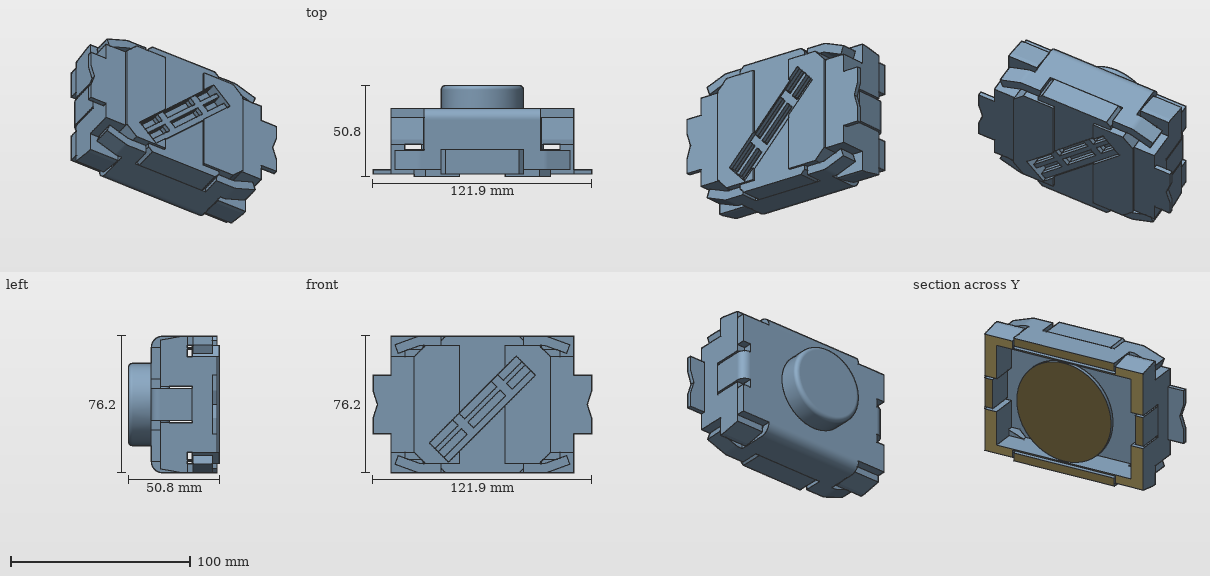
import cadquery as cq
import math


sheet = 5.1
bend_inner = 1.2
bend_outer = bend_inner + sheet
small_step = 2.5
overall_length = 121.9

pad_height = 1.3
clip_bottom = 2.5
clip_top = 13.3
floor_top = 13.9
notch_top = 16.6
slope_bottom = 19.1
base_top = 31.6
cover_top = base_top + sheet
button_top = 49.5

base_half_length = 51.0
base_half_width = 38.1
floor_half_length = 38.0
floor_half_width = base_half_width - sheet
floor_chamfer = 6.3
end_wall_half_width = floor_half_width - floor_chamfer
slope_inset = 2.2
cavity_half_length = 43.2
cavity_half_width = 30.7
arm_recess_half_length = 32.9
arm_recess_half_width = base_half_width - bend_outer
end_slot_half_width = 10.1
pad_inner_edge = 12.7
boss_half_length = 23.0

terminal_half_width = 16.3
terminal_notch_depth = 2.4
terminal_notch_half_width = 7.5

side_arm_half_length = 32.4
leg_half_length = 34.4
clip_length = 12.9
clip_angle = 20.0
end_arm_half_width = 9.0
relief_half_width = 14.1

button_radius = 23.0
flange_radius = 30.5
flange_thickness = sheet

contact_angle = 45.0
contact_length = 68.5
contact_width = 15.1
contact_drop = 2.5
contact_sink = 1.0
window_inner = 1.28
window_outer = 5.7
crossbar_inner = 12.7
crossbar_outer = crossbar_inner + sheet
window_depth = 2 * small_step


def box(x_range, y_range, z_range):
    """Box between the given limits along each axis."""
    return cq.Workplane("XY").box(
        x_range[1] - x_range[0], y_range[1] - y_range[0], z_range[1] - z_range[0], centered=False
    ).translate((x_range[0], y_range[0], z_range[0]))


def centred_box(half_x, y_range, half_z):
    """Box centred on the Y axis."""
    return box((-half_x, half_x), y_range, (-half_z, half_z))


def prism(points, y_range):
    """Straight prism along Y on an outline of (x, z) points."""
    outline = cq.Workplane("XZ", origin=(0, y_range[0], 0)).polyline(points).close()
    return outline.extrude(y_range[0] - y_range[1])


def on_both_ends(body):
    """The body and its mirror copy at the opposite X end."""
    return body.union(body.mirror("YZ"))


def on_both_sides(body):
    """The body and its mirror copy at the opposite Z side."""
    return body.union(body.mirror("XY"))


def along_diagonal(u_range, v_range, y_range):
    """Box in the diagonal frame of the contact, at the centre of the switch."""
    return box(u_range, y_range, (-v_range[1], -v_range[0])).rotate((0, 0, 0), (0, 1, 0), -contact_angle)


def contact_envelope(y_range):
    """Rectangle that holds the diagonal contact."""
    half_length = contact_length / 2
    half_width = contact_width / 2
    envelope = along_diagonal((-half_length, half_length), (-half_width, half_width), y_range)
    return envelope.translate((0, 0, -contact_drop))


def contact_windows():
    """Two rows of three windows, open at the ends of the diagonal."""
    y_range = (contact_sink, contact_sink + window_depth)
    windows = cq.Workplane("XY")
    u_ranges = [
        (-contact_length, -crossbar_outer),
        (-crossbar_inner, crossbar_inner),
        (crossbar_outer, contact_length),
    ]
    for u_range in u_ranges:
        for v_range in [(-window_outer, -window_inner), (window_inner, window_outer)]:
            windows = windows.union(along_diagonal(u_range, v_range, y_range))
    return windows.intersect(contact_envelope(y_range))


def floor_block(y_range):
    """Block with the chamfered plan of the base floor."""
    return centred_box(floor_half_length, y_range, floor_half_width).edges("|Y").chamfer(floor_chamfer)


def base_ring():
    """Upper part of the base, with sloping sides."""
    slope_top_half_width = base_half_width - slope_inset
    section = [
        (notch_top, -base_half_width),
        (slope_bottom, -base_half_width),
        (base_top, -slope_top_half_width),
        (base_top, slope_top_half_width),
        (slope_bottom, base_half_width),
        (notch_top, base_half_width),
    ]
    return cq.Workplane("YZ").polyline(section).close().extrude(base_half_length, both=True)


def side_arm_clearance():
    """Space on both Z sides of the base for the cover's side arms."""
    clearance = box(
        (-arm_recess_half_length, arm_recess_half_length),
        (floor_top, base_top),
        (arm_recess_half_width, base_half_width),
    )
    return on_both_sides(clearance)


def terminals():
    """Flat tab at each end with a V notch in its tip."""
    tip = overall_length / 2
    outline = [
        (floor_half_length, -terminal_half_width),
        (tip, -terminal_half_width),
        (tip, -terminal_notch_half_width),
        (tip - terminal_notch_depth, 0),
        (tip, terminal_notch_half_width),
        (tip, terminal_half_width),
        (floor_half_length, terminal_half_width),
    ]
    return on_both_ends(prism(outline, (0, small_step)))


def side_bosses():
    """Blocks that fill the gap between the two legs of each side arm."""
    boss = box(
        (-boss_half_length, boss_half_length), (0, floor_top), (floor_half_width - sheet, base_half_width)
    )
    return on_both_sides(boss.faces(">Z").edges("|Y").chamfer(small_step))


def make_base():
    """Hollow base with its pads, bosses and terminals, and the seat of the contact."""
    lower = floor_block((0, notch_top))
    lower = lower.union(centred_box(base_half_length, (0, notch_top), end_wall_half_width))
    body = base_ring().union(lower).cut(side_arm_clearance())

    cavity = centred_box(cavity_half_length, (floor_top, base_top), cavity_half_width)
    end_slots = centred_box(base_half_length, (floor_top, base_top), end_slot_half_width)
    body = body.cut(cavity).cut(end_slots)

    pad_gap = centred_box(pad_inner_edge, (-pad_height, 0), base_half_width)
    pads = floor_block((-pad_height, small_step)).cut(pad_gap)
    body = body.union(pads).union(side_bosses()).union(terminals())

    contact_seat = contact_envelope((-pad_height, contact_sink + small_step))
    return body.cut(contact_seat).cut(contact_windows())


def bent_clip():
    """Curved end of a leg, bent inwards, at the +X +Z corner."""
    centre_z = base_half_width - bend_outer
    angle = math.radians(clip_angle)

    def bend_point(radius, turn):
        return (leg_half_length + radius * math.sin(turn), centre_z + radius * math.cos(turn))

    def tip_point(radius):
        x, z = bend_point(radius, angle)
        return (x + clip_length * math.cos(angle), z - clip_length * math.sin(angle))

    profile = (
        cq.Workplane("XZ", origin=(0, clip_bottom, 0))
        .moveTo(*bend_point(bend_inner, 0))
        .lineTo(*bend_point(bend_outer, 0))
        .threePointArc(bend_point(bend_outer, angle / 2), bend_point(bend_outer, angle))
        .lineTo(*tip_point(bend_outer))
        .lineTo(*tip_point(bend_inner))
        .lineTo(*bend_point(bend_inner, angle))
        .threePointArc(bend_point(bend_inner, angle / 2), bend_point(bend_inner, 0))
        .close()
    )
    return profile.extrude(clip_bottom - clip_top)


def side_arms():
    """Channel that runs over the top and down both Z sides, with two legs on each side."""
    outer = centred_box(leg_half_length, (clip_bottom, cover_top), base_half_width)
    outer = outer.edges("|X and >Y").fillet(bend_outer)
    inner = centred_box(leg_half_length, (clip_bottom, base_top), floor_half_width)
    inner = inner.edges("|X and >Y").fillet(bend_inner)
    channel = outer.cut(inner)

    beside_arm = box(
        (side_arm_half_length, leg_half_length), (clip_top, cover_top), (-base_half_width, base_half_width)
    )
    between_legs = centred_box(boss_half_length, (clip_bottom, floor_top), base_half_width)
    return channel.cut(on_both_ends(beside_arm)).cut(between_legs)


def end_arms():
    """Arms bent down over both X ends."""
    arm = box(
        (base_half_length - 2 * sheet, base_half_length),
        (floor_top, cover_top),
        (-end_arm_half_width, end_arm_half_width),
    )
    arm = arm.edges("|Z and >X and >Y").fillet(sheet)
    under_arm = box(
        (base_half_length - 2 * sheet, base_half_length - sheet),
        (floor_top, base_top),
        (-end_arm_half_width, end_arm_half_width),
    )
    return on_both_ends(arm.cut(under_arm))


def make_cover():
    """Sheet metal cover with bent arms and clips, and a hole for the button."""
    plate = centred_box(base_half_length, (base_top, cover_top), arm_recess_half_width)
    relief = box(
        (base_half_length - sheet, base_half_length),
        (base_top, cover_top),
        (-relief_half_width, relief_half_width),
    )
    plate = plate.cut(on_both_ends(relief))
    clips = on_both_sides(on_both_ends(bent_clip()))
    body = plate.union(side_arms()).union(end_arms()).union(clips)
    button_hole = cq.Workplane("XZ", origin=(0, base_top, 0)).circle(button_radius).extrude(-sheet)
    return body.cut(button_hole)


def make_button():
    """Round stem with a retaining flange under the cover."""
    stem = cq.Workplane("XZ", origin=(0, base_top, 0)).circle(button_radius).extrude(base_top - button_top)
    stem = stem.faces(">Y").edges().fillet(small_step)
    flange = cq.Workplane("XZ", origin=(0, base_top, 0)).circle(flange_radius).extrude(flange_thickness)
    flange = flange.faces("<Y").edges().fillet(small_step)
    return stem.union(flange)


def make_contact():
    """Flat diagonal strip with windows, seated in the mounting face."""
    bar = contact_envelope((contact_sink, contact_sink + small_step))
    return bar.cut(contact_windows())


base = make_base()
cover = make_cover()
button = make_button()
contact = make_contact()

bodies = [base, cover, button, contact]
result = cq.Compound.makeCompound([body.solids().val() for body in bodies])